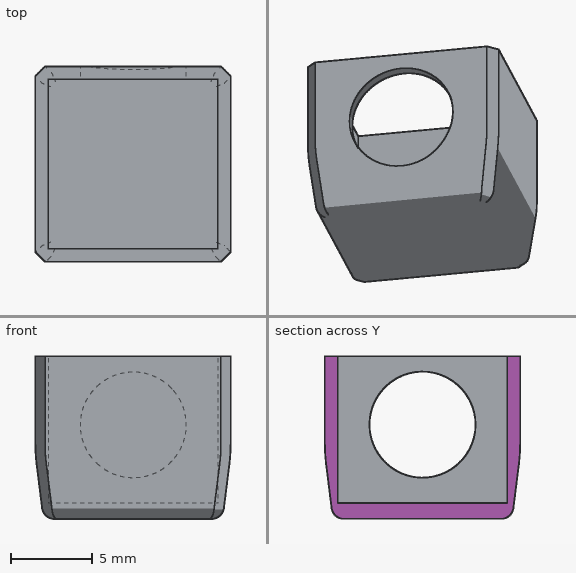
import cadquery as cq

width = 12.0
height = 10.0
taper_height = 4.0
taper_inset = 0.5
side_blend_radius = 10.0
bend_margin = 0.1
corner_chamfer = 0.6
base_fillet_radius = 0.8

wall = 0.8
floor_thickness = 1.0

opening_diameter = 6.5
opening_center_z = 5.8

cavity_width = width - 2 * wall


def side_profile(plane):
    """Slab with two upright sides that blend into a tapered lower part.

    The "XZ" plane shapes the sides facing X, the "YZ" plane those facing Y.
    """
    half_width = width / 2
    half_base = half_width - taper_inset
    slab = (
        cq.Workplane(plane)
        .polyline([
            (-half_base, 0),
            (half_base, 0),
            (half_width, taper_height),
            (half_width, height),
            (-half_width, height),
            (-half_width, taper_height),
        ])
        .close()
        .extrude(width / 2, both=True)
    )
    bend_edges = cq.selectors.BoxSelector(
        (-width, -width, taper_height - bend_margin),
        (width, width, taper_height + bend_margin),
    )
    return slab.edges(bend_edges).fillet(side_blend_radius)


def outer_body():
    """Block tapered on all four sides, with chamfered corners and a rounded base."""
    body = side_profile("XZ").intersect(side_profile("YZ"))
    rising_edges = "not(#Z)"
    body = body.edges(rising_edges).chamfer(corner_chamfer)
    return body.faces("<Z").edges().fillet(base_fillet_radius)


def cavity():
    """Square pocket, open at the top."""
    return (
        cq.Workplane("XY", origin=(0, 0, floor_thickness))
        .rect(cavity_width, cavity_width)
        .extrude(height - floor_thickness)
    )


def wall_opening():
    """Cylinder running from the middle of the cavity out through the +Y wall."""
    return (
        cq.Workplane("XZ", origin=(0, 0, opening_center_z))
        .circle(opening_diameter / 2)
        .extrude(-width / 2)
    )


result = outer_body().cut(cavity()).cut(wall_opening())